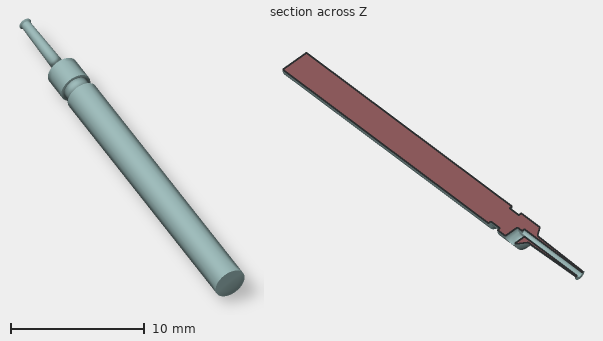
import cadquery as cq

overall_length = 30.55
tip_flare_length = 0.12
taper_end = 5.0
cone_end = 5.53
vent_position = 6.17
groove_start = 7.55
groove_end = 8.5

body_diameter = 2.5
groove_diameter = 2.0
stem_base_diameter = 1.0
stem_tip_diameter = 0.75
tip_rim_diameter = 1.0
tip_bore_diameter = 0.5
vent_diameter = 1.0

stations = [
    (0, tip_rim_diameter),
    (tip_flare_length, stem_tip_diameter),
    (taper_end, stem_base_diameter),
    (cone_end, body_diameter),
    (groove_start, body_diameter),
    (groove_start, groove_diameter),
    (groove_end, groove_diameter),
    (groove_end, body_diameter),
    (overall_length, body_diameter),
]


def turned_pin():
    """Revolve the stepped half profile about the X axis."""
    outline = [(0, 0)]
    outline += [(x, diameter / 2) for x, diameter in stations]
    outline += [(overall_length, 0)]
    return cq.Workplane("XY").polyline(outline).close().revolve(360, (0, 0, 0), (1, 0, 0))


def tip_bore():
    """Axial passage from the tip to the centre of the side vent."""
    return cq.Workplane("YZ").circle(tip_bore_diameter / 2).extrude(vent_position)


def side_vent():
    """Radial hole from the +Y side of the head down to the axis."""
    return (
        cq.Workplane("XZ")
        .center(vent_position, 0)
        .circle(vent_diameter / 2)
        .extrude(-body_diameter / 2)
    )


pin = turned_pin().cut(tip_bore()).cut(side_vent())
result = pin.translate((-overall_length / 2, 0, 0))